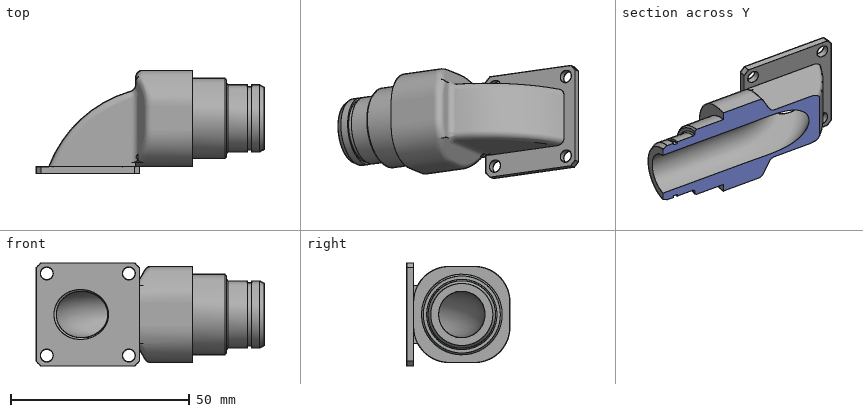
import cadquery as cq
import math


flange_side = 29.0
flange_thickness = 2.0
flange_corner_chamfer = 1.4
bolt_pitch = 23.0
bolt_hole_diameter = 3.5

block_side = 27.0
block_corner_radius = 10.0
block_start_x = 27.9
block_end_x = 43.9
block_fold_z = 8.0
block_taper_angle = 30.0
block_rim_fillet = 2.0

plug_axis_y = flange_thickness + block_side / 2
shoulder_diameter = 22.6
shoulder_end_x = 53.4
shoulder_chamfer = 0.5
neck_diameter = 18.9
neck_root_chamfer = 0.4
groove_diameter = 17.8
groove_start_x = 59.2
groove_end_x = 60.4
plug_end_x = 64.0
tip_chamfer_length = 1.4
tip_chamfer_depth = 0.75

bend_radius = 25.9
bend_x = 36.2
bend_y = plug_axis_y - bend_radius
bore_diameter = 13.0
bore_mouth_chamfer = 0.5

elbow_outer_radius = 34.9
elbow_width = 16.3
elbow_edge_fillet = 2.0
elbow_root_fillet = 2.0
elbow_overlap = 2.0

pick_margin = 0.5


def make_flange():
    plate = (
        cq.Workplane("XY")
        .box(flange_side, flange_thickness, flange_side, centered=(False, False, True))
        .edges("|Y")
        .chamfer(flange_corner_chamfer)
    )
    holes = (
        cq.Workplane("XZ", origin=(flange_side / 2, 0, 0))
        .rect(bolt_pitch, bolt_pitch, forConstruction=True)
        .vertices()
        .circle(bolt_hole_diameter / 2)
        .extrude(-flange_thickness)
    )
    return plate.cut(holes)


def make_rounded_square_bar(start_x):
    """Bar along the plug axis with the outline of the block."""
    return (
        cq.Workplane("YZ", origin=(start_x, plug_axis_y, 0))
        .rect(block_side, block_side)
        .extrude(block_end_x - start_x)
        .edges("|X")
        .fillet(block_corner_radius)
    )


def make_wedge(half_height):
    """Slab with a flat nose that slopes back above and below the fold lines."""
    slope_run = (half_height - block_fold_z) * math.tan(math.radians(block_taper_angle))
    return (
        cq.Workplane("XZ", origin=(0, plug_axis_y, 0))
        .moveTo(block_start_x, -block_fold_z)
        .lineTo(block_start_x, block_fold_z)
        .lineTo(block_start_x + slope_run, half_height)
        .lineTo(block_end_x, half_height)
        .lineTo(block_end_x, -half_height)
        .lineTo(block_start_x + slope_run, -half_height)
        .close()
        .extrude(block_side / 2, both=True)
    )


def make_block():
    body = make_rounded_square_bar(block_start_x).intersect(make_wedge(block_side / 2))
    front_edges = cq.selectors.StringSyntaxSelector("not(|X or >X)")
    fold_lines = cq.selectors.BoxSelector(
        (block_start_x - pick_margin, plug_axis_y - pick_margin, -block_fold_z - pick_margin),
        (block_start_x + pick_margin, plug_axis_y + pick_margin, block_fold_z + pick_margin),
    )
    return body.edges(front_edges - fold_lines).fillet(block_rim_fillet)


def elbow_back_y(x):
    return bend_y + math.sqrt(elbow_outer_radius**2 - (bend_x - x) ** 2)


def make_elbow(end_x):
    """Housing between the flange and a curved back, up to end_x."""
    foot_x = bend_x - math.sqrt(elbow_outer_radius**2 - (flange_thickness - bend_y) ** 2)
    diagonal = elbow_outer_radius * math.sqrt(0.5)
    return (
        cq.Workplane("XY")
        .moveTo(foot_x, flange_thickness)
        .threePointArc((bend_x - diagonal, bend_y + diagonal), (end_x, elbow_back_y(end_x)))
        .lineTo(end_x, flange_thickness)
        .close()
        .extrude(elbow_width / 2, both=True)
        .edges("%CIRCLE")
        .fillet(elbow_edge_fillet)
    )


def make_elbow_root():
    """End of the elbow at the block, with the fillet where it meets the block's nose.

    The elbow runs on past the nose, so the block's rim stays square between the elbow's sides.
    """
    bar = make_rounded_square_bar(block_start_x - elbow_root_fillet)
    long_elbow = make_elbow(block_start_x + elbow_overlap)
    wedge = make_wedge(block_side / 2)
    seam_top_y = elbow_back_y(block_start_x)
    seam_half_width = elbow_width / 2
    seam_zone = cq.selectors.BoxSelector(
        (block_start_x - pick_margin, flange_thickness + pick_margin, -seam_half_width - pick_margin),
        (block_start_x + pick_margin, seam_top_y + pick_margin, seam_half_width + pick_margin),
    )
    blended = long_elbow.union(wedge).edges(seam_zone).fillet(elbow_root_fillet)
    return blended.cut(wedge).union(long_elbow).intersect(bar)


def make_plug():
    shoulder = shoulder_diameter / 2
    neck = neck_diameter / 2
    groove = groove_diameter / 2
    profile = [
        (block_end_x, 0),
        (block_end_x, shoulder),
        (shoulder_end_x - shoulder_chamfer, shoulder),
        (shoulder_end_x, shoulder - shoulder_chamfer),
        (shoulder_end_x, neck + neck_root_chamfer),
        (shoulder_end_x + neck_root_chamfer, neck),
        (groove_start_x, neck),
        (groove_start_x, groove),
        (groove_end_x, groove),
        (groove_end_x, neck),
        (plug_end_x - tip_chamfer_length, neck),
        (plug_end_x, neck - tip_chamfer_depth),
        (plug_end_x, 0),
    ]
    return (
        cq.Workplane("XY", origin=(0, plug_axis_y, 0))
        .polyline(profile)
        .close()
        .revolve(360, (0, 0, 0), (1, 0, 0))
    )


def make_bore():
    """Quarter bend through the flange face onto the plug axis, then straight out of the plug."""
    bend = (
        cq.Workplane("YZ", origin=(bend_x, plug_axis_y, 0))
        .circle(bore_diameter / 2)
        .revolve(90, (-bend_radius, 0, 0), (-bend_radius, 1, 0))
    )
    straight = (
        cq.Workplane("YZ", origin=(bend_x, plug_axis_y, 0))
        .circle(bore_diameter / 2)
        .extrude(plug_end_x - bend_x)
    )
    return bend.union(straight)


result = (
    make_flange()
    .union(make_elbow(block_start_x))
    .union(make_elbow_root())
    .union(make_block())
    .union(make_plug())
    .clean()
    .cut(make_bore())
)
result = result.faces("<Y").edges("not (%CIRCLE or %LINE)").chamfer(bore_mouth_chamfer)